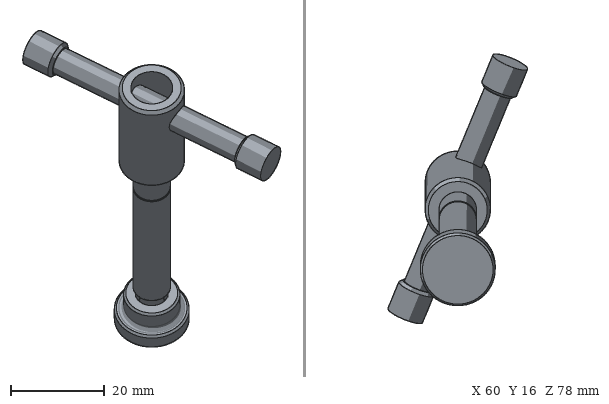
import cadquery as cq
import math

total_height = 78.0
hub_length = 25.0
hub_bottom = total_height - hub_length
screw_bottom = 10.5

foot_diameter = 16.0
foot_flange_height = 4.0
foot_height = 9.0
foot_boss_diameter = 12.0
foot_chamfer = 0.5
foot_fillet = 1.0
socket_diameter = 7.0
socket_floor = 4.0

hub_diameter = 14.0
hub_chamfer = 0.7
screw_diameter = 8.0
screw_chamfer = 0.7
neck_diameter = 5.15
groove_bottom = 44.5
groove_width = 0.4
groove_depth = 0.1

bore_diameter = 8.9
bore_depth = 10.0
drill_point_angle = 118.0

handle_length = 60.0
handle_diameter = 6.0
handle_height = total_height - 6.0
knob_diameter = 8.0
knob_length = 7.0
knob_chamfer = 0.7


def cylinder(diameter, bottom, top):
    """Vertical cylinder on the Z axis between two heights."""
    return cq.Workplane("XY").workplane(offset=bottom).circle(diameter / 2).extrude(top - bottom)


def make_foot():
    """Flanged foot with a socket in its top for the end of the neck."""
    flange = cylinder(foot_diameter, 0, foot_flange_height).edges().chamfer(foot_chamfer)
    boss = cylinder(foot_boss_diameter, 0, foot_height).faces(">Z").edges().chamfer(foot_chamfer)
    root = cq.selectors.BoxSelector(
        (-foot_boss_diameter, -foot_boss_diameter, foot_flange_height - foot_fillet / 2),
        (foot_boss_diameter, foot_boss_diameter, foot_flange_height + foot_fillet / 2),
    )
    foot = flange.union(boss)
    root_edges = foot.edges(root).edges(cq.selectors.RadiusNthSelector(0))
    foot = root_edges.fillet(foot_fillet)
    return foot.cut(cylinder(socket_diameter, socket_floor, foot_height))


def make_hub_bore():
    """Round bore with a conical end, as a cutting body."""
    radius = bore_diameter / 2
    bore_bottom = total_height - bore_depth
    point_depth = radius / math.tan(math.radians(drill_point_angle / 2))
    return (
        cq.Workplane("XZ")
        .moveTo(0, total_height)
        .lineTo(radius, total_height)
        .lineTo(radius, bore_bottom)
        .lineTo(0, bore_bottom - point_depth)
        .close()
        .revolve(360, (0, 0), (0, 1))
    )


def make_handle_rod():
    """Plain horizontal rod over the full handle length."""
    return (
        cq.Workplane("YZ", origin=(-handle_length / 2, 0, handle_height))
        .circle(handle_diameter / 2)
        .extrude(handle_length)
    )


def make_spindle():
    """Hub, screw and neck in one piece, bored and cross-drilled for the handle."""
    neck = cylinder(neck_diameter, socket_floor, screw_bottom)
    screw = cylinder(screw_diameter, screw_bottom, hub_bottom).faces("<Z").edges().chamfer(screw_chamfer)
    hub = cylinder(hub_diameter, hub_bottom, total_height).edges().chamfer(hub_chamfer)
    groove_top = groove_bottom + groove_width
    groove = cylinder(screw_diameter, groove_bottom, groove_top).cut(
        cylinder(screw_diameter - 2 * groove_depth, groove_bottom, groove_top)
    )
    spindle = neck.union(screw).union(hub)
    return spindle.cut(groove).cut(make_hub_bore()).cut(make_handle_rod())


def make_handle():
    """Rod with a chamfered knob at each end."""
    handle = make_handle_rod()
    for side in (-1, 1):
        inner_face = "<X" if side > 0 else ">X"
        knob = (
            cq.Workplane("YZ", origin=(side * handle_length / 2, 0, handle_height))
            .circle(knob_diameter / 2)
            .extrude(-side * knob_length)
            .faces(inner_face)
            .edges()
            .chamfer(knob_chamfer)
        )
        handle = handle.union(knob)
    return handle


foot = make_foot()
spindle = make_spindle()
handle = make_handle()

result = cq.Compound.makeCompound([foot.solids().val(), spindle.solids().val(), handle.solids().val()])